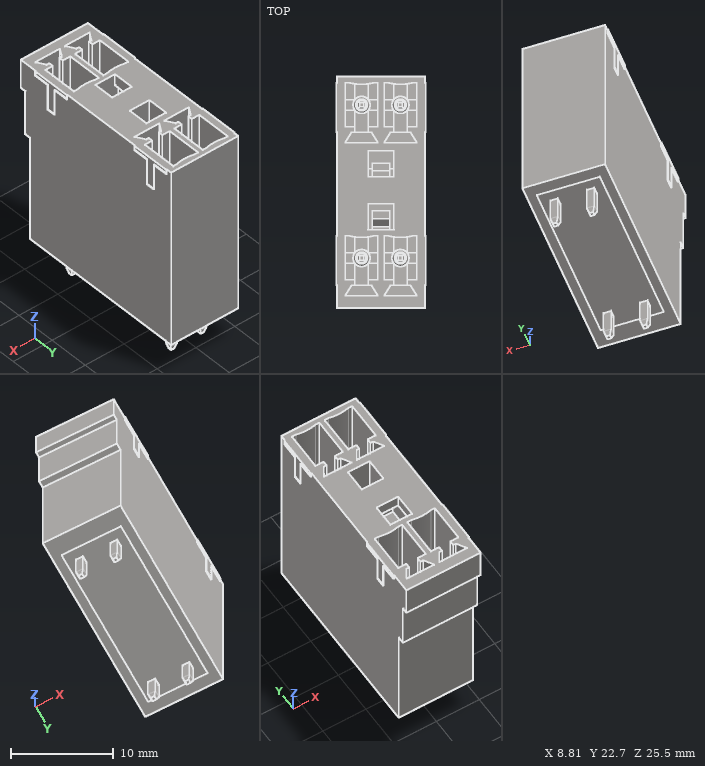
import cadquery as cq


housing_width = 8.65
housing_length = 22.7
housing_height = 22.0
lip_height = 3.6
shoulder_depth = 9.1
shoulder_setback = 0.63
foot_setback = 1.4

column_pitch = 3.81
row_pitch = 15.0
back_wall_to_row = 2.8
column_positions = (-column_pitch / 2, column_pitch / 2)
row_positions = (-row_pitch / 2, row_pitch / 2)

back_y = row_pitch / 2 + back_wall_to_row
front_y = back_y - housing_length

pocket_width = 3.2
pocket_back = 2.16
pocket_front = -2.13
pocket_floor = 6.0
bulge_width = 2.3
bulge_depth = 0.14
cross_groove_width = 1.02
cross_groove_floor = pocket_floor - 0.5
neck_width = 1.3
neck_floor = pocket_floor - 1.0
flare_back = -2.66
flare_front = -3.69
flare_back_width = 1.95
flare_floor = housing_height - 6.0

pad_span = 8.81
pad_bar_height = 0.56
pad_bar_back = pocket_back
pad_bar_front = flare_back
pad_center = (pad_bar_back + pad_bar_front) / 2
pad_stem_width = 1.03
pad_height = 3.71

base_width = 6.6
base_length = 18.0
base_thickness = 2.0
hook_center_y = -1.32
hook_width = 1.76
hook_inner = 1.55
hook_ramp_start = 2.35
arm_outer = 2.55
hook_tip = 3.11
hook_top = housing_height - 4.0
barb_nose_height = hook_top - 0.8
catch_level = hook_top - 1.2

window_width = 2.52
window_length = 2.52
back_window_y = 1.73
front_window_y = -3.46
shelf_level = hook_top - 0.4
relief_width = 3.3
relief_depth = 1.42
relief_back = -0.65

pin_width = 0.8
pin_tail = 3.5
pin_taper = 0.7
pin_tip_width = 0.4
barrel_diameter = 1.68
barrel_top_diameter = 1.14
barrel_top = 14.0
barrel_cone_height = 0.5
pin_top = 16.0


def block(width, y_front, y_rear, z_low, z_high, x=0.0):
    """Box centred on x, given by its limits along Y and Z."""
    return (
        cq.Workplane("XY", origin=(x, (y_front + y_rear) / 2, z_low))
        .box(width, y_rear - y_front, z_high - z_low, centered=(True, True, False))
    )


def housing_shell():
    shoulder_y = front_y + shoulder_setback
    foot_y = front_y + foot_setback
    lip_z = housing_height - lip_height
    shoulder_z = housing_height - shoulder_depth
    return (
        cq.Workplane("YZ")
        .moveTo(back_y, 0)
        .lineTo(back_y, housing_height)
        .lineTo(front_y, housing_height)
        .lineTo(front_y, lip_z)
        .lineTo(shoulder_y, lip_z)
        .lineTo(shoulder_y, shoulder_z)
        .lineTo(foot_y, shoulder_z)
        .lineTo(foot_y, 0)
        .close()
        .extrude(housing_width / 2, both=True)
    )


def side_pads(row_y):
    """T profile running across the housing, so that its ends form the pads."""
    stem_y = row_y + pad_center
    bar = block(
        pad_span, row_y + pad_bar_front, row_y + pad_bar_back,
        housing_height - pad_bar_height, housing_height,
    )
    stem = block(
        pad_span, stem_y - pad_stem_width / 2, stem_y + pad_stem_width / 2,
        housing_height - pad_height, housing_height,
    )
    return bar.union(stem)


def contact_pocket(x, y):
    """Space of one contact pocket: chamber, cross groove, neck and flared end."""
    half_width = pocket_width / 2
    half_bulge = bulge_width / 2

    def chamber(floor):
        return (
            cq.Workplane("XY", origin=(x, y, floor))
            .moveTo(-half_width, pocket_front)
            .lineTo(-half_width, pocket_back)
            .lineTo(-half_bulge, pocket_back)
            .threePointArc((0, pocket_back - bulge_depth), (half_bulge, pocket_back))
            .lineTo(half_width, pocket_back)
            .lineTo(half_width, pocket_front)
            .close()
            .extrude(housing_height - floor)
        )

    groove_half = cross_groove_width / 2
    cross_groove = block(
        pocket_width, y - groove_half, y + groove_half, cross_groove_floor, pocket_floor, x
    )
    neck_in_chamber = chamber(neck_floor).intersect(
        block(neck_width, y + pocket_front, y + pocket_back, neck_floor, housing_height, x)
    )
    neck_passage = block(
        neck_width, y + flare_back, y + pocket_front, neck_floor, housing_height, x
    )
    flare = (
        cq.Workplane("XY", origin=(x, y, flare_floor))
        .polyline([
            (-flare_back_width / 2, flare_back),
            (flare_back_width / 2, flare_back),
            (half_width, flare_front),
            (-half_width, flare_front),
        ])
        .close()
        .extrude(housing_height - flare_floor)
    )
    return (
        chamber(pocket_floor)
        .union(cross_groove)
        .union(neck_in_chamber)
        .union(neck_passage)
        .union(flare)
    )


def barrel_bore(x, y):
    return (
        cq.Workplane("XY", origin=(x, y, base_thickness))
        .circle(barrel_diameter / 2)
        .extrude(pocket_floor - base_thickness)
    )


def back_window():
    """Window over the back hook: a deep well with a raised shelf at its front."""
    window_front = back_window_y - window_length / 2
    window_rear = back_window_y + window_length / 2
    shelf_edge = hook_center_y + arm_outer
    opening = block(window_width, window_front, window_rear, shelf_level, housing_height)
    well = block(window_width, shelf_edge, window_rear, catch_level, housing_height)
    return opening.union(well)


def front_window():
    """Window over the front hook, widened below its rim, with a slot in its floor."""
    window_front = front_window_y - window_length / 2
    window_rear = front_window_y + window_length / 2
    opening = block(window_width, window_front, window_rear, shelf_level, housing_height)
    relief = block(
        relief_width, window_front, relief_back, shelf_level, housing_height - relief_depth
    )
    slot = block(
        hook_width, window_front, hook_center_y - hook_inner, catch_level, shelf_level
    )
    return opening.union(relief).union(slot)


def snap_hook(direction):
    """Arm rising from the base plate, with its barb pointing along direction * Y."""
    profile = [
        (hook_inner, base_thickness),
        (hook_inner, hook_top),
        (hook_ramp_start, hook_top),
        (hook_tip, barb_nose_height),
        (hook_tip, catch_level),
        (arm_outer, catch_level),
        (arm_outer, base_thickness),
    ]
    return (
        cq.Workplane("YZ")
        .polyline([(hook_center_y + direction * reach, z) for reach, z in profile])
        .close()
        .extrude(hook_width / 2, both=True)
    )


def base_blank():
    """Base plate with its hooks, before the pin holes are made."""
    plate = block(base_width, -base_length / 2, base_length / 2, 0, base_thickness)
    return plate.union(snap_hook(1)).union(snap_hook(-1))


def pin_point(z, direction):
    """Tapered square end of a pin, starting at z and narrowing along direction * Z."""
    return (
        cq.Workplane("XY", origin=(0, 0, z))
        .rect(pin_width, pin_width)
        .workplane(offset=direction * pin_taper)
        .rect(pin_tip_width, pin_tip_width)
        .loft()
    )


def contact_pin(x, y):
    """Square pin, pointed at both ends, with a cone-topped round barrel."""
    half_pin = pin_width / 2
    low_end = pin_taper - pin_tail
    high_end = pin_top - pin_taper
    cone_start = barrel_top - barrel_cone_height
    shank = block(pin_width, -half_pin, half_pin, low_end, high_end)
    barrel = (
        cq.Workplane("XZ")
        .moveTo(0, base_thickness)
        .lineTo(barrel_diameter / 2, base_thickness)
        .lineTo(barrel_diameter / 2, cone_start)
        .lineTo(barrel_top_diameter / 2, barrel_top)
        .lineTo(0, barrel_top)
        .close()
        .revolve(360, (0, 0, 0), (0, 1, 0))
    )
    pin = (
        shank
        .union(barrel)
        .union(pin_point(low_end, -1))
        .union(pin_point(high_end, 1))
    )
    return pin.translate((x, y, 0))


contact_positions = [(x, y) for x in column_positions for y in row_positions]

housing = housing_shell()
for row_y in row_positions:
    housing = housing.union(side_pads(row_y))
for x, y in contact_positions:
    housing = housing.cut(contact_pocket(x, y))
    housing = housing.cut(barrel_bore(x, y))
housing = housing.cut(back_window()).cut(front_window()).cut(base_blank())

base = base_blank()
for x, y in contact_positions:
    half_hole = pin_width / 2
    base = base.cut(block(pin_width, y - half_hole, y + half_hole, 0, base_thickness, x))

pins = [contact_pin(x, y) for x, y in contact_positions]

result = cq.Compound.makeCompound([housing.val(), base.val(), *[pin.val() for pin in pins]])